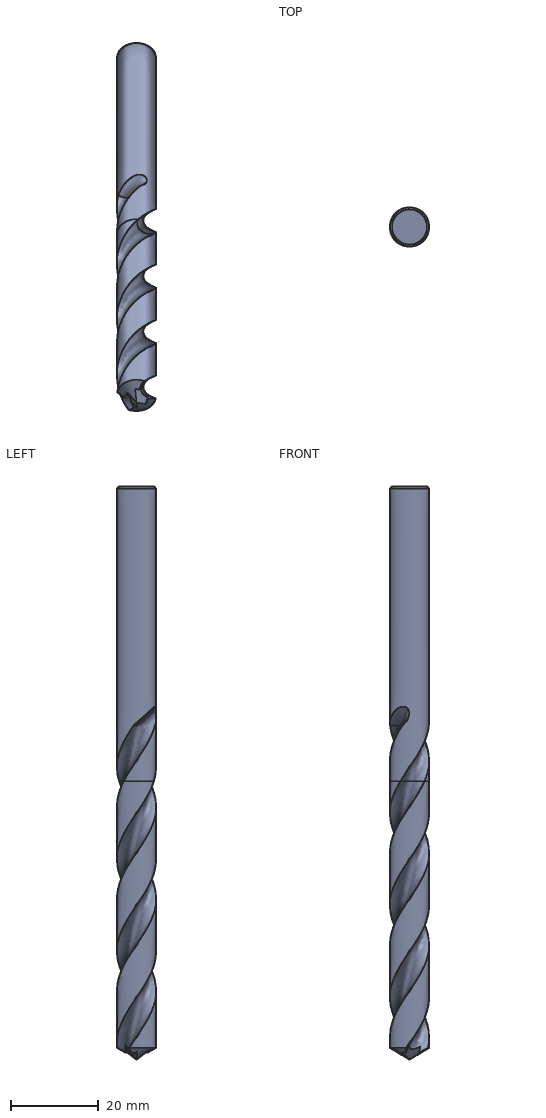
import cadquery as cq
import math


diameter = 9.0
radius = diameter / 2
total_length = 131.0
cutting_length = 63.6
point_angle = 118.0
point_height = radius / math.tan(math.radians(point_angle / 2))
end_chamfer = 0.5

flute_count = 2
flute_pitch = 42.1
flute_end = 76.3
flute_twist = 360 * flute_end / flute_pitch
flute_opening_angle = 77.0
flute_start_angle = -83.0
core_radius = 1.57

runout_rise = 6.0
runout_sideways_slope = 1.15
runout_outward_slope = 0.23

edge_x = radius * math.cos(math.radians(flute_opening_angle / 2))
edge_y = radius * math.sin(math.radians(flute_opening_angle / 2))
edge_depth = edge_x - core_radius
flute_radius = (edge_depth**2 + edge_y**2) / (2 * edge_depth)
flute_offset = core_radius + flute_radius

gash_radius = 2.6
gash_angle = 57.0
gash_heading = -62.0


def turned_plane(z, angle):
    """Horizontal plane at height z with its x direction turned by angle about the drill axis."""
    turn = math.radians(angle)
    return cq.Plane(origin=(0, 0, z), xDir=(math.cos(turn), math.sin(turn), 0), normal=(0, 0, 1))


def make_blank():
    """Plain cylinder with a conical point below and a chamfered free end above."""
    profile = [
        (0, 0),
        (radius, point_height),
        (radius, total_length - end_chamfer),
        (radius - end_chamfer, total_length),
        (0, total_length),
    ]
    return cq.Workplane("XZ").polyline(profile).close().revolve(360, (0, 0), (0, 1))


def make_helical_cutter(start_angle):
    """Round section twisted about the drill axis from the point up to the end of the flute."""
    return (
        cq.Workplane(turned_plane(0, start_angle))
        .moveTo(flute_offset, 0)
        .circle(flute_radius)
        .twistExtrude(flute_end, flute_twist)
    )


def make_runout_cutter(start_angle):
    """Straight continuation of the flute that climbs out through the side of the shank."""
    plane = turned_plane(flute_end, start_angle + flute_twist)
    travel = (runout_rise * runout_outward_slope, runout_rise * runout_sideways_slope, runout_rise)
    direction = plane.toWorldCoords(travel) - plane.origin
    section = cq.Workplane(plane).moveTo(flute_offset, 0).circle(flute_radius).wires().val()
    return cq.Workplane(cq.Solid.extrudeLinear(section, [], direction))


def make_gash_cutter(turn):
    """Wedge under a plane that rises steeply from the tip, kept within a radius of the drill axis."""
    gash_height = gash_radius * math.tan(math.radians(gash_angle))
    rise_direction = turned_plane(0, gash_heading + turn)
    wedge = (
        cq.Workplane(cq.Plane(origin=(0, 0, 0), xDir=rise_direction.xDir, normal=-rise_direction.yDir))
        .polyline([(0, 0), (gash_radius, 0), (gash_radius, gash_height)])
        .close()
        .extrude(gash_radius, both=True)
    )
    return wedge.intersect(cq.Workplane().circle(gash_radius).extrude(gash_height))


drill = make_blank()
for i in range(flute_count):
    turn = 360 * i / flute_count
    drill = drill.cut(make_helical_cutter(flute_start_angle + turn))
    drill = drill.cut(make_runout_cutter(flute_start_angle + turn))

cutting_zone = cq.Workplane().circle(diameter).extrude(cutting_length)
shank_part = drill.cut(cutting_zone)
cutting_part = drill.intersect(cutting_zone)
for i in range(flute_count):
    cutting_part = cutting_part.cut(make_gash_cutter(360 * i / flute_count))

result = cq.Compound.makeCompound([cutting_part.val(), shank_part.val()])